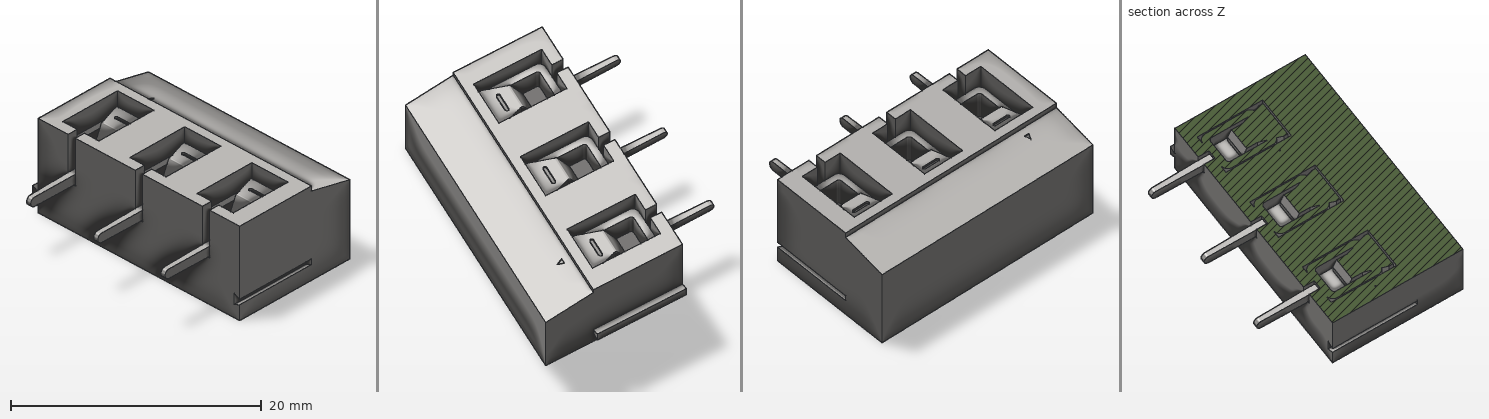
import cadquery as cq
import math

OVERALL_LENGTH = 23.1
OVERLAP = 0.02

body_length = 22.48
body_depth = 12.6
body_height = 9.0
ridge_y = 8.2
slope_top_z = 8.52
slope_back_z = 7.55
terminal_count = 3
pitch = body_length / terminal_count

rail_reach = OVERALL_LENGTH - body_length
rail_z = 1.78
rail_root_width = 0.53
rail_tip_width = 1.06

pocket_width = 4.05
pocket_front_y = 1.05
pocket_back_y = 7.3
pocket_floor_z = 4.45
slot_width = 0.8

cage_width = 3.9
cage_back_y = 6.28
cage_top_z = 7.02
cage_corner_radius = 0.65
cage_opening_width = 2.68
cage_opening_front_y = 1.69
cage_opening_radius = 0.28

lever_back_gap = 0.12
lever_back_y = pocket_back_y - lever_back_gap
lever_top_z = 7.76
lever_back_width = 3.55
lever_nose_width = 2.2
lever_taper_start_y = 6.8
lever_nose_y = 4.55
lever_foot_y = 3.3
lever_foot_z = 4.97
lever_back_radius = 0.3
lever_nose_radius = 0.23
groove_length = 1.7
groove_width = 0.32
groove_depth = 0.2
groove_y = 5.8

pin_root_width = 0.6
pin_tip_width = 0.46
pin_length = 4.92
pin_bottom_z = 4.53
pin_root_top_z = 5.47
pin_tip_top_z = 5.43

mark_base_y = 8.85
mark_length = 0.55
mark_width = 0.45
mark_depth = 0.12


def box(width, front_y, back_y, bottom_z, top_z):
    """Block centred on X = 0."""
    return (
        cq.Workplane("XY", origin=(0, (front_y + back_y) / 2, bottom_z))
        .rect(width, back_y - front_y)
        .extrude(top_z - bottom_z)
    )


def side_profile(points, width):
    """(Y, Z) outline extruded symmetrically about X = 0."""
    return cq.Workplane("YZ").polyline(points).close().extrude(width / 2, both=True)


def make_housing():
    outline = [
        (0, 0),
        (body_depth, 0),
        (body_depth, slope_back_z),
        (ridge_y, slope_top_z),
        (ridge_y, body_height),
        (0, body_height),
    ]
    return side_profile(outline, body_length)


def make_dovetail(root_x):
    """Dovetail bar widening from root_x towards -X."""
    tip_x = root_x - rail_reach
    points = [
        (root_x, rail_z - rail_root_width / 2),
        (tip_x, rail_z - rail_tip_width / 2),
        (tip_x, rail_z + rail_tip_width / 2),
        (root_x, rail_z + rail_root_width / 2),
    ]
    return cq.Workplane("XZ").polyline(points).close().extrude(-ridge_y)


def make_pocket():
    pocket = box(pocket_width, pocket_front_y, pocket_back_y, pocket_floor_z, body_height + OVERLAP)
    slot = box(slot_width, -OVERLAP, pocket_front_y + OVERLAP, pocket_floor_z, body_height + OVERLAP)
    return pocket.union(slot)


def make_cage():
    """Rounded block with a wire opening down to the pocket floor; the lever closes its back end."""
    cage = box(cage_width, pocket_front_y, cage_back_y, pocket_floor_z - OVERLAP, cage_top_z)
    cage = cage.edges("|Z").fillet(cage_corner_radius)
    opening = box(
        cage_opening_width,
        cage_opening_front_y,
        cage_back_y + OVERLAP,
        pocket_floor_z,
        cage_top_z + OVERLAP,
    )
    return cage.cut(opening.edges("|Z and <Y").fillet(cage_opening_radius))


def make_lever():
    base_z = pocket_floor_z - OVERLAP
    profile = [
        (lever_foot_y, lever_foot_z),
        (lever_foot_y, base_z),
        (lever_back_y, base_z),
        (lever_back_y, lever_top_z),
        (lever_nose_y, lever_top_z),
    ]
    wedge = side_profile(profile, lever_back_width)
    wedge = wedge.edges("|X and >Z and >Y").fillet(lever_back_radius)
    wedge = wedge.edges("|X and >Z").edges("<Y").fillet(lever_nose_radius)
    nose_tilt = math.atan2(lever_top_z - lever_foot_z, lever_nose_y - lever_foot_y)
    taper_end_y = lever_nose_y + lever_nose_radius * math.tan(nose_tilt / 2)
    plan = [
        (-lever_back_width / 2, lever_back_y),
        (-lever_back_width / 2, lever_taper_start_y),
        (-lever_nose_width / 2, taper_end_y),
        (-lever_nose_width / 2, lever_foot_y),
        (lever_nose_width / 2, lever_foot_y),
        (lever_nose_width / 2, taper_end_y),
        (lever_back_width / 2, lever_taper_start_y),
        (lever_back_width / 2, lever_back_y),
    ]
    footprint = cq.Workplane("XY").workplane(offset=base_z).polyline(plan).close().extrude(body_height)
    groove = (
        cq.Workplane("XY", origin=(0, groove_y, lever_top_z - groove_depth))
        .slot2D(groove_length, groove_width)
        .extrude(groove_depth + OVERLAP)
    )
    return wedge.intersect(footprint).cut(groove)


def make_pin():
    """Pin tapering to a rounded tip, rooted in the front wall of the cage."""
    root_y = (pocket_front_y + cage_opening_front_y) / 2
    tip_radius = (pin_tip_top_z - pin_bottom_z) / 2
    tip_start_y = tip_radius - pin_length
    pin = (
        cq.Workplane("YZ")
        .moveTo(root_y, pin_bottom_z)
        .lineTo(root_y, pin_root_top_z)
        .lineTo(0, pin_root_top_z)
        .lineTo(tip_start_y, pin_tip_top_z)
        .threePointArc((-pin_length, pin_bottom_z + tip_radius), (tip_start_y, pin_bottom_z))
        .close()
        .extrude(pin_root_width / 2, both=True)
    )
    plan = [
        (-pin_root_width / 2, root_y),
        (-pin_root_width / 2, 0),
        (-pin_tip_width / 2, -pin_length),
        (pin_tip_width / 2, -pin_length),
        (pin_root_width / 2, 0),
        (pin_root_width / 2, root_y),
    ]
    return pin.intersect(cq.Workplane("XY").polyline(plan).close().extrude(body_height))


def make_mark():
    """Triangular cutter parallel to the sloping top, pointing backwards."""
    fall = math.atan2(slope_top_z - slope_back_z, body_depth - ridge_y)
    mark_z = slope_top_z - (mark_base_y - ridge_y) * math.tan(fall)
    points = [(-mark_width / 2, 0), (mark_width / 2, 0), (0, mark_length)]
    return (
        cq.Workplane("XY")
        .polyline(points)
        .close()
        .extrude(mark_depth, both=True)
        .rotate((0, 0, 0), (1, 0, 0), -math.degrees(fall))
        .translate((0, mark_base_y, mark_z))
    )


terminal_xs = [(i - (terminal_count - 1) / 2) * pitch for i in range(terminal_count)]

result = make_housing().union(make_dovetail(-body_length / 2))
result = result.cut(make_dovetail(body_length / 2))
result = result.cut(make_mark().translate((terminal_xs[0], 0, 0)))

pocket = make_pocket()
terminal = make_cage().union(make_lever()).union(make_pin())
for x in terminal_xs:
    result = result.cut(pocket.translate((x, 0, 0)))
    result = result.union(terminal.translate((x, 0, 0)))